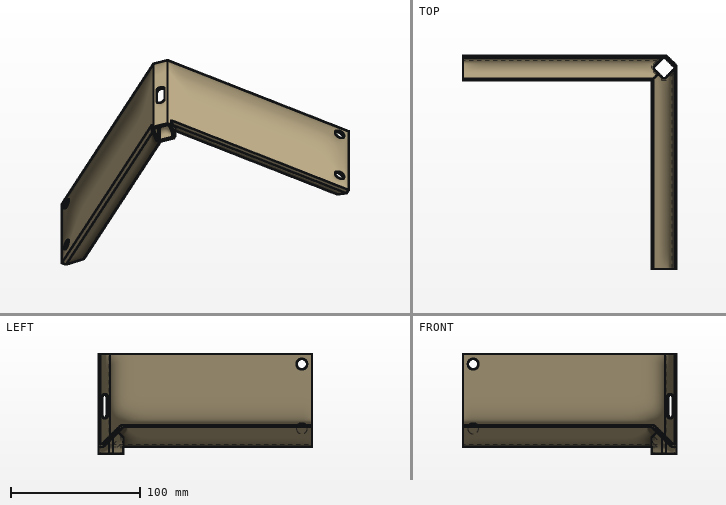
import cadquery as cq
import math

leg_length = 165.0
leg_height = 71.9
leg_width = 19.2
total_height = 77.28
sheet = 1.75
bottom_flat = 3.7
lip = 1.5
gutter_radius = 0.7

tube_across_faces = 15.8
tube_across_corners = 19.2

hole_diameter = 8.0
hole_edge_distance = 7.9
hole_pitch = 50.0

slot_width = 6.4
slot_length = 18.8
slot_depth = 40.4

tube_center = -tube_across_corners / 2
corner_chamfer = tube_across_corners - tube_across_faces / math.sqrt(2)
flange_rise = leg_width - bottom_flat
lip_bottom_z = flange_rise - leg_height
lip_top_z = lip_bottom_z + lip

gutter_angle = 45.0
bend_sweep = 180.0 - gutter_angle
bend_x = -sheet - gutter_radius
vee_z = lip_top_z - (leg_width - lip - sheet)
bend_z = vee_z + gutter_radius / math.tan(math.radians(gutter_angle / 2))


def bend_point(degrees):
    """Point on the inside bend at an angle measured from the wall tangent point."""
    angle = math.radians(degrees)
    return (bend_x + gutter_radius * math.cos(angle), bend_z + gutter_radius * math.sin(angle))


bend_at_wall = bend_point(0)
bend_middle = bend_point(-bend_sweep / 2)
bend_at_flange = bend_point(-bend_sweep)


def mitred_pair(section):
    """Run an XZ section along both legs, mitred at the corner."""
    mitre_side = (
        cq.Workplane("XY", origin=(0, 0, -total_height))
        .polyline([(0, 0), (-leg_length, -leg_length), (0, -leg_length)])
        .close()
        .extrude(total_height)
    )
    leg = section.extrude(leg_length).intersect(mitre_side)
    other_leg = leg.mirror("YZ").rotate((0, 0, 0), (0, 0, 1), -90)
    return leg.union(other_leg)


def sheet_legs():
    """Walls with flanges that rise inward at 45 degrees to a squared lip."""
    section = (
        cq.Workplane("XZ")
        .polyline([
            bend_at_wall,
            (-sheet, 0),
            (0, 0),
            (0, -leg_height),
            (-bottom_flat, -leg_height),
            (-leg_width, lip_bottom_z),
            (-leg_width, lip_top_z),
            (lip - leg_width, lip_top_z),
            bend_at_flange,
        ])
        .threePointArc(bend_middle, bend_at_wall)
        .close()
    )
    return mitred_pair(section)


def space_above_gutter():
    """Open space bounded by the inner faces of the walls, bends and flanges."""
    section = (
        cq.Workplane("XZ")
        .polyline([bend_at_wall, (-sheet, 0), (vee_z - sheet, 0), bend_at_flange])
        .threePointArc(bend_middle, bend_at_wall)
        .close()
    )
    return mitred_pair(section)


def octagon_prism(inset):
    """Full-height diagonal square with flattened corners, every side moved in by inset."""
    diagonal_size = tube_across_faces - 2 * inset
    straight_size = tube_across_corners - 2 * inset
    base = cq.Workplane("XY", origin=(tube_center, tube_center, -total_height))
    straight = base.rect(straight_size, straight_size).extrude(total_height)
    diagonal = base.transformed(rotate=(0, 0, 45)).rect(diagonal_size, diagonal_size).extrude(total_height)
    return straight.intersect(diagonal)


def corner_prism(inset, height):
    """Triangular prism at the outer corner, with its diagonal face moved in by inset."""
    reach = corner_chamfer + inset * math.sqrt(2)
    return (
        cq.Workplane("XY", origin=(0, 0, -height))
        .polyline([(0, 0), (-reach, 0), (0, -reach)])
        .close()
        .extrude(height)
    )


def corner_slot():
    """Upright slot through the diagonal corner wall."""
    middle = -corner_chamfer / 2
    wall_plane = cq.Plane(origin=(middle, middle, -slot_depth), xDir=(1, -1, 0), normal=(-1, -1, 0))
    return cq.Workplane(wall_plane).slot2D(slot_length, slot_width, 90).extrude(2 * sheet, both=True)


def mounting_holes():
    """Two holes through each wall, one above the other near the free end."""
    end = hole_edge_distance - leg_length
    upper = -hole_edge_distance
    centers = [(end, upper), (end, upper - hole_pitch)]
    back_holes = cq.Workplane("XZ").pushPoints(centers).circle(hole_diameter / 2).extrude(sheet)
    side_holes = cq.Workplane("YZ").pushPoints(centers).circle(hole_diameter / 2).extrude(-sheet)
    return back_holes.union(side_holes)


tube = octagon_prism(0).cut(space_above_gutter())
corner_wall = corner_prism(sheet, leg_height)

bracket = sheet_legs().union(tube).union(corner_wall)
bracket = bracket.cut(corner_prism(0, total_height)).cut(octagon_prism(sheet))
result = bracket.cut(corner_slot()).cut(mounting_holes())